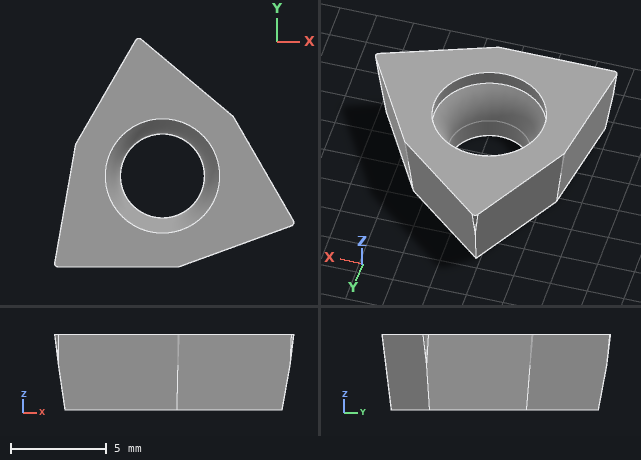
import cadquery as cq
import math

width = 12.51
thickness = 3.97
nose_angle = 80.0
relief_angle = 7.0
edge_radius = 0.2

mouth_radius = 2.99
throat_radius = 2.19
mouth_depth = 0.81
throat_depth = 2.83

nose_count = 3
nose_spacing = 360.0 / nose_count
waist_angle = 360.0 - nose_spacing - nose_angle
nose_directions = [220.0 + index * nose_spacing for index in range(nose_count)]


def polar(radius, degrees):
    angle = math.radians(degrees)
    return radius * math.cos(angle), radius * math.sin(angle)


def edge_reach(flank_distance, edge_angle):
    """Distance from the axis to the sharp edge where two flanks meet."""
    return flank_distance / math.sin(math.radians(edge_angle / 2))


nose_cosines = [polar(1, direction)[0] for direction in nose_directions]
nose_center_reach = (width - 2 * edge_radius) / (max(nose_cosines) - min(nose_cosines))
inscribed_radius = edge_radius + nose_center_reach * math.sin(math.radians(nose_angle / 2))
relief_slope = math.tan(math.radians(relief_angle))
base_radius = inscribed_radius - thickness * relief_slope
rounding_depth = edge_radius / relief_slope


def trigon_points(flank_distance):
    points = []
    for direction in nose_directions:
        points.append(polar(edge_reach(flank_distance, nose_angle), direction))
        points.append(polar(edge_reach(flank_distance, waist_angle), direction + nose_spacing / 2))
    return points


def sharp_body():
    return (
        cq.Workplane("XY")
        .polyline(trigon_points(base_radius)).close()
        .workplane(offset=thickness)
        .polyline(trigon_points(inscribed_radius)).close()
        .loft(ruled=True, combine=True)
    )


def edge_trim(edge_angle):
    """Sliver outside the rounding cone of an edge that points along +X."""
    center_x = edge_reach(inscribed_radius - edge_radius, edge_angle)
    tip = cq.Vector(edge_reach(inscribed_radius, edge_angle), 0, thickness)
    apex = cq.Vector(center_x, 0, thickness - rounding_depth)
    tangent_x, tangent_y = polar(edge_radius, 90 - edge_angle / 2)
    left = cq.Vector(center_x + tangent_x, tangent_y, thickness)
    right = cq.Vector(center_x + tangent_x, -tangent_y, thickness)
    triangles = [
        (tip, left, right),
        (apex, left, tip),
        (apex, tip, right),
        (apex, right, left),
    ]
    faces = [cq.Face.makeFromWires(cq.Wire.makePolygon(t, close=True)) for t in triangles]
    wedge = cq.Solid.makeSolid(cq.Shell.makeShell(faces))
    cone = cq.Solid.makeCone(0, edge_radius, rounding_depth, pnt=apex)
    return cq.Workplane(obj=wedge.cut(cone))


def screw_hole():
    """Revolved hole whose convex seat arc runs tangent into the throat."""
    seat_width = mouth_radius - throat_radius
    seat_height = throat_depth - mouth_depth
    throat_z = thickness - throat_depth
    return (
        cq.Workplane("XZ")
        .lineTo(throat_radius, 0)
        .lineTo(throat_radius, throat_z)
        .tangentArcPoint((seat_width, seat_height))
        .lineTo(mouth_radius, thickness)
        .lineTo(0, thickness)
        .close()
        .revolve(360, (0, 0, 0), (0, 1, 0))
    )


result = sharp_body().cut(screw_hole())
for direction in nose_directions:
    nose_trim = edge_trim(nose_angle).rotate((0, 0, 0), (0, 0, 1), direction)
    waist_trim = edge_trim(waist_angle).rotate((0, 0, 0), (0, 0, 1), direction + nose_spacing / 2)
    result = result.cut(nose_trim).cut(waist_trim)